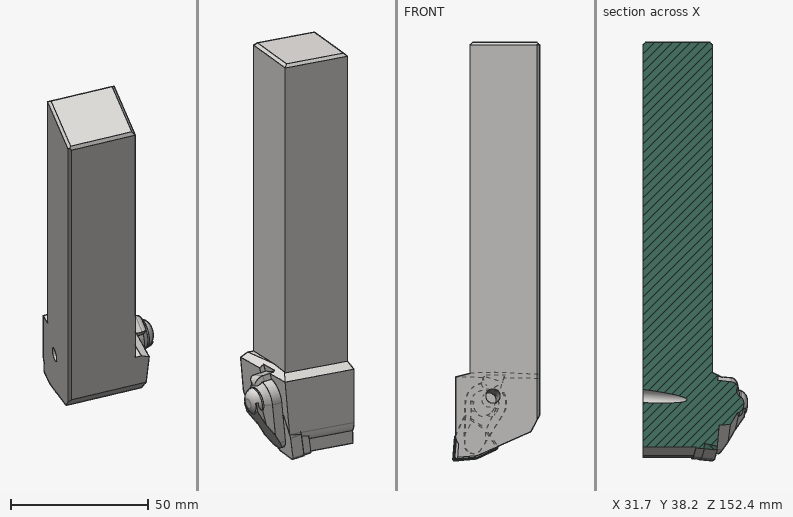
import cadquery as cq
import math


shank_side = 25.5
tool_length = 152.4
shank_chamfer = 1.0

head_left = -5.2
shoulder_z = 30.6
shoulder_slope = 0.25
head_top_left_z = 32.6
head_top_right_z = 31.5
relief_top_z = 9.8
relief_run_z = 6.2
relief_x = -4.1
relief_radius = 4.9
bottom_left_x = -4.4
bottom_left_z = 1.4
bottom_bend_x = 2.7
bottom_bend_z = 2.0
bottom_right_x = 22.3
bottom_right_z = 10.7
corner_top_z = 16.8

rake_angle = 5
rake_slope = math.tan(math.radians(rake_angle))
rake_face_y = 25.9
head_stock_y = 38.1

ramp_base_y = 25.9
ramp_base_z = 31.9
ramp_slope_x = 0.05
ramp_slope_z = 2.0

insert_tips = 3
tip_angle = 80
first_tip = math.radians(135)
insert_inradius = 6.4
insert_thickness = 4.7
insert_nose_radius = 0.8
tip_x = -6.4
tip_z = -0.1
shim_thickness = 3.0
shim_inset = 0.2

clamp_x = 6.0
clamp_z = 21.2
clamp_turn = 17
clamp_radius = 7.5
clamp_side_height = 4.0
clamp_height = 6.9
clamp_bevel = clamp_height - clamp_side_height
heel_length = 8.8
heel_width = 7.0
heel_height = 5.8
heel_edge_radius = 2.7
heel_slot_depth = 2.0
heel_slot_length = 6.1
nose_length = 16.0
nose_radius = 3.2
nose_height = 1.2
slope_start = 3.4
slope_top = 8.8
ridge_half = 4.5
ridge_nose_half = 1.8
dome_radius = 5.2
dome_flat_radius = 1.8
dome_height = 9.8
dome_arc_radius = 4.3

hole_radius = 2.6
hole_depth = 16.8

trim_size = 121.9


def rake_plane(x=0.0, z=0.0, turn=0.0):
    """Plane on the inclined face: local x along X, local y along -Z, normal out of the head."""
    point = (x, rake_face_y + rake_slope * (x + z), z)
    plane = cq.Plane(origin=point, xDir=(1, rake_slope, 0), normal=(-rake_slope, 1, -rake_slope))
    return plane.rotated((0, 0, turn))


def long_bevel():
    """Envelope that bevels the long edge at the right of the plain face."""
    return (
        cq.Workplane("XY", origin=(shank_side - trim_size, 0, 0))
        .rect(trim_size, trim_size, centered=False)
        .extrude(tool_length)
        .edges("|Z and >X and <Y")
        .chamfer(shank_chamfer)
    )


def shank():
    """Square bar above the head, bevelled at its end and along one long edge."""
    bar = (
        cq.Workplane("XY", origin=(0, 0, corner_top_z))
        .rect(shank_side, shank_side, centered=False)
        .extrude(tool_length - corner_top_z)
    )
    return bar.faces(">Z").chamfer(shank_chamfer).intersect(long_bevel())


def head():
    """Head block, with an inclined upper face and a ramp down to the shank."""
    block = (
        cq.Workplane("XZ")
        .moveTo(head_left, shoulder_z)
        .lineTo(head_left, relief_top_z)
        .radiusArc((relief_x, relief_run_z), -relief_radius)
        .lineTo(bottom_left_x, bottom_left_z)
        .lineTo(bottom_bend_x, bottom_bend_z)
        .lineTo(bottom_right_x, bottom_right_z)
        .lineTo(shank_side, corner_top_z)
        .lineTo(shank_side, head_top_right_z)
        .lineTo((head_top_left_z - shoulder_z) / shoulder_slope + head_left, head_top_left_z)
        .close()
        .extrude(-head_stock_y)
    )
    above_rake = cq.Workplane(rake_plane()).rect(trim_size, trim_size).extrude(trim_size)
    ramp = cq.Plane(
        origin=(0, ramp_base_y, ramp_base_z),
        xDir=(1, ramp_slope_x, 0),
        normal=(-ramp_slope_x, 1, ramp_slope_z),
    )
    above_ramp = cq.Workplane(ramp).rect(trim_size, trim_size).extrude(trim_size)
    above_shank = cq.Workplane("XZ", origin=(0, shank_side, 0)).rect(trim_size, trim_size).extrude(-trim_size)
    return block.intersect(long_bevel()).cut(above_rake).cut(above_ramp.intersect(above_shank))


def trigon(inset, depth, thickness):
    """Trigon prism whose top lies at a depth below the inclined face."""
    half_tip = math.radians(tip_angle / 2)
    step = math.radians(360 / (2 * insert_tips))
    inradius = insert_inradius - inset
    tip_reach = inradius / math.sin(half_tip)
    waist_reach = inradius / math.sin(half_tip + step)
    points = []
    for corner in range(2 * insert_tips):
        reach = tip_reach if corner % 2 == 0 else waist_reach
        angle = first_tip + corner * step
        points.append((reach * math.cos(angle), reach * math.sin(angle)))
    center_reach = insert_inradius / math.sin(half_tip)
    center_x = tip_x - center_reach * math.cos(first_tip)
    center_z = tip_z + center_reach * math.sin(first_tip)
    return (
        cq.Workplane(rake_plane(center_x, center_z))
        .workplane(offset=-depth)
        .polyline(points)
        .close()
        .extrude(-thickness)
        .edges(cq.selectors.ParallelDirSelector(rake_plane().zDir))
        .fillet(insert_nose_radius)
    )


def clamp():
    """Clamp with a domed crown, a narrow rounded heel and a nose sloping down onto the insert."""
    base = rake_plane(clamp_x, clamp_z, clamp_turn + 90)
    lean = math.asin((clamp_radius - nose_radius) / nose_length)
    along = math.sin(lean)
    across = math.cos(lean)
    body = (
        cq.Workplane(base)
        .moveTo(clamp_radius * along, clamp_radius * across)
        .lineTo(nose_length + nose_radius * along, nose_radius * across)
        .threePointArc(
            (nose_length + nose_radius, 0),
            (nose_length + nose_radius * along, -nose_radius * across),
        )
        .lineTo(clamp_radius * along, -clamp_radius * across)
        .threePointArc((-clamp_radius, 0), (clamp_radius * along, clamp_radius * across))
        .close()
        .extrude(clamp_height)
    )
    body = body.faces(cq.selectors.DirectionMinMaxSelector(base.zDir)).chamfer(clamp_bevel)
    ridge = (
        cq.Workplane(base)
        .polyline([
            (0, ridge_half),
            (nose_length, ridge_nose_half),
            (nose_length, -ridge_nose_half),
            (0, -ridge_half),
        ])
        .close()
        .extrude(slope_top)
    )
    side = cq.Plane(origin=base.origin, xDir=base.xDir, normal=-base.yDir)
    above_slope = (
        cq.Workplane(side)
        .polyline([
            (slope_start, slope_top),
            (nose_length + nose_radius, nose_height),
            (2 * nose_length, nose_height),
            (2 * nose_length, slope_top),
        ])
        .close()
        .extrude(clamp_radius * 2, both=True)
    )
    front = body.union(ridge).cut(above_slope)

    dome = (
        cq.Workplane(side)
        .lineTo(dome_radius, 0)
        .lineTo(dome_radius, clamp_height)
        .radiusArc((dome_flat_radius, dome_height), -dome_arc_radius)
        .lineTo(0, dome_height)
        .close()
        .revolve(360, (0, 0), (0, 1))
    )
    heel = (
        cq.Workplane(base)
        .center(-heel_length / 2, 0)
        .rect(heel_length, heel_width)
        .extrude(heel_height)
        .faces(cq.selectors.DirectionMinMaxSelector(base.zDir))
        .edges()
        .fillet(heel_edge_radius)
    )
    return front.union(heel).union(dome)


def heel_slot():
    """Slot in the ramp behind the heel, open towards the shank."""
    base = rake_plane(clamp_x, clamp_z, clamp_turn + 90)
    return (
        cq.Workplane(base)
        .center(-heel_length - heel_slot_length / 2, 0)
        .rect(heel_slot_length, heel_width)
        .extrude(-heel_slot_depth)
    )


def screw_hole():
    """Blind hole on the clamp screw axis, with its flat end inside the head."""
    axis = rake_plane(clamp_x, clamp_z)
    reach = axis.origin.y / axis.zDir.y
    end = cq.Workplane(axis).workplane(offset=hole_depth - reach)
    return end.circle(hole_radius).extrude(-2 * hole_depth)


def make_insert():
    """Insert lying flush with the inclined face."""
    return trigon(0, 0, insert_thickness)


def make_holder(insert):
    """Shank, head, shim and clamp as one body, with a pocket that fits the insert."""
    shim = trigon(shim_inset, insert_thickness, shim_thickness)
    holder = shank().union(head().cut(heel_slot()))
    return holder.cut(insert).union(shim).union(clamp()).cut(screw_hole())


insert = make_insert()
holder = make_holder(insert)
result = cq.Compound.makeCompound([holder.val(), insert.val()])